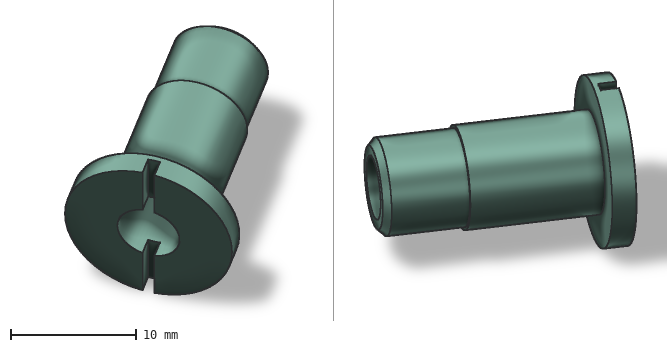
import cadquery as cq

total_length = 20.0
head_diameter = 14.0
head_thickness = 2.0
shank_diameter = 8.5
tip_diameter = 8.0
tip_length = 7.0
tip_chamfer = 0.6
bore_diameter = 5.2
slot_width = 1.0
slot_depth = 1.5

shank_length = total_length - head_thickness - tip_length


def cylinder(diameter, start, length):
    """Solid cylinder along +Y, starting at the given Y position."""
    axis_start = cq.Vector(0, start, 0)
    axis_direction = cq.Vector(0, 1, 0)
    return cq.Workplane(cq.Solid.makeCylinder(diameter / 2, length, axis_start, axis_direction))


head = cylinder(head_diameter, 0, head_thickness)
shank = cylinder(shank_diameter, head_thickness, shank_length)
tip = cylinder(tip_diameter, head_thickness + shank_length, tip_length)
tip = tip.faces(">Y").chamfer(tip_chamfer)
body = head.union(shank).union(tip)

bore = cylinder(bore_diameter, 0, total_length)

slot = cq.Workplane("XY").box(slot_width, slot_depth, head_diameter, centered=(True, False, True))

result = body.cut(bore).cut(slot)